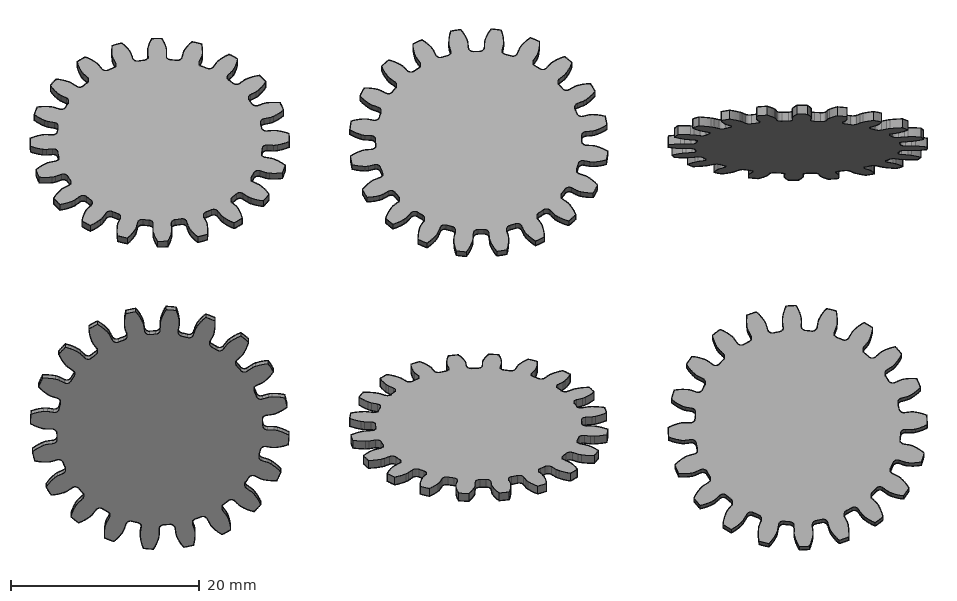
import cadquery as cq
import math

OUTSIDE_DIAMETER = 27.5
THICKNESS = 1.0
TOOTH_COUNT = 20
PRESSURE_ANGLE = math.radians(14.5)
DEDENDUM_FACTOR = 1.25
ROOT_FILLET = 0.5

module = OUTSIDE_DIAMETER / (TOOTH_COUNT + 2)
tip_radius = OUTSIDE_DIAMETER / 2
pitch_radius = module * TOOTH_COUNT / 2
base_radius = pitch_radius * math.cos(PRESSURE_ANGLE)
root_radius = pitch_radius - DEDENDUM_FACTOR * module
flank_circles = [base_radius, pitch_radius, tip_radius]
pitch_angle = 2 * math.pi / TOOTH_COUNT


def involute(angle):
    """Polar angle swept by an involute at the given pressure angle."""
    return math.tan(angle) - angle


def polar(radius, angle):
    return (radius * math.cos(angle), radius * math.sin(angle))


base_half_angle = pitch_angle / 4 + involute(PRESSURE_ANGLE)

fillet_center_radius = root_radius + ROOT_FILLET
fillet_angle = math.asin(ROOT_FILLET / fillet_center_radius)
fillet_top_radius = fillet_center_radius * math.cos(fillet_angle)
root_half_angle = base_half_angle + fillet_angle


def fillet_middle(tooth_angle, side):
    """Midpoint of the root fillet on one side (-1 or 1) of a tooth."""
    center_angle = tooth_angle + side * root_half_angle
    center_x, center_y = polar(fillet_center_radius, center_angle)
    toward_root = center_angle + math.pi
    toward_flank = tooth_angle + side * (base_half_angle - math.pi / 2)
    toward_middle_x = math.cos(toward_root) + math.cos(toward_flank)
    toward_middle_y = math.sin(toward_root) + math.sin(toward_flank)
    reach = ROOT_FILLET / math.hypot(toward_middle_x, toward_middle_y)
    return (center_x + reach * toward_middle_x, center_y + reach * toward_middle_y)


def flank_point(radius, tooth_angle, side):
    """Point where the involute on one side of a tooth crosses a circle."""
    half_angle = base_half_angle - involute(math.acos(base_radius / radius))
    return polar(radius, tooth_angle + side * half_angle)


def add_flank(outline, tooth_angle, side, circles):
    """Follow the involute through the given circles with one arc between each two."""
    for start_radius, end_radius in zip(circles, circles[1:]):
        middle_radius = (start_radius + end_radius) / 2
        middle = flank_point(middle_radius, tooth_angle, side)
        outline = outline.threePointArc(middle, flank_point(end_radius, tooth_angle, side))
    return outline


def add_tooth(outline, tooth_angle):
    """Draw one tooth counterclockwise, then the root arc up to the next tooth."""
    foot_start = polar(fillet_top_radius, tooth_angle - base_half_angle)
    foot_end = polar(fillet_top_radius, tooth_angle + base_half_angle)
    root_start = polar(root_radius, tooth_angle + root_half_angle)
    root_middle = polar(root_radius, tooth_angle + pitch_angle / 2)
    root_end = polar(root_radius, tooth_angle + pitch_angle - root_half_angle)

    outline = outline.threePointArc(fillet_middle(tooth_angle, -1), foot_start)
    outline = outline.lineTo(*flank_point(base_radius, tooth_angle, -1))
    outline = add_flank(outline, tooth_angle, -1, flank_circles)
    tip_end = flank_point(tip_radius, tooth_angle, 1)
    outline = outline.threePointArc(polar(tip_radius, tooth_angle), tip_end)
    outline = add_flank(outline, tooth_angle, 1, flank_circles[::-1])
    outline = outline.lineTo(*foot_end)
    outline = outline.threePointArc(fillet_middle(tooth_angle, 1), root_start)
    return outline.threePointArc(root_middle, root_end)


profile = cq.Workplane("XY").moveTo(*polar(root_radius, -root_half_angle))
for tooth in range(TOOTH_COUNT):
    profile = add_tooth(profile, tooth * pitch_angle)

result = profile.close().extrude(THICKNESS)